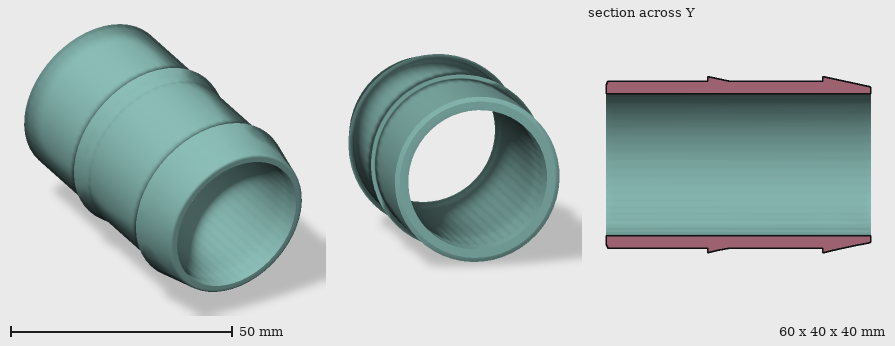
import cadquery as cq

length = 60.0
tube_diameter = 38.0
bore_diameter = 32.0
tube_radius = tube_diameter / 2
bore_radius = bore_diameter / 2

chamfer_length = 0.5
chamfer_depth = 1.0

barb_radius = 40.0 / 2
collar_start = 23.0
collar_length = 4.75
end_barb_start = 49.0
tip_radius = 17.65
tip_fillet = 0.6

half_section = (
    cq.Workplane("XZ")
    .moveTo(0, bore_radius)
    .lineTo(0, tube_radius - chamfer_depth)
    .lineTo(chamfer_length, tube_radius)
    .lineTo(collar_start, tube_radius)
    .lineTo(collar_start, barb_radius)
    .lineTo(collar_start + collar_length, tube_radius)
    .lineTo(end_barb_start, tube_radius)
    .lineTo(end_barb_start, barb_radius)
    .lineTo(length, tip_radius)
    .lineTo(length, bore_radius)
    .close()
)

fitting = half_section.revolve(360, (0, 0, 0), (1, 0, 0))

tip_rim = cq.selectors.RadiusNthSelector(-1)
result = fitting.faces(">X").edges(tip_rim).fillet(tip_fillet)